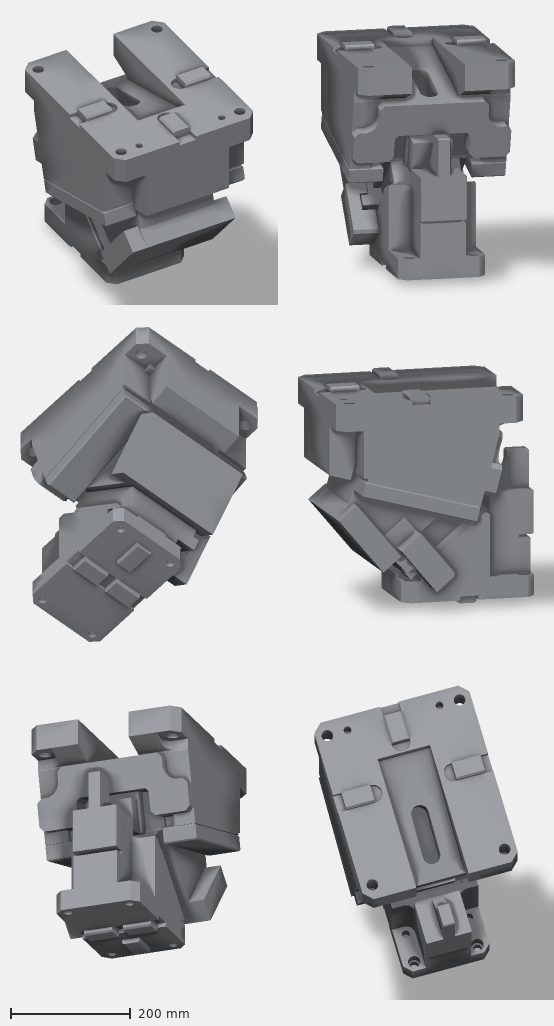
import cadquery as cq
import math


KEY_WIDTH = 32.0
KEY_LENGTH = 50.0
KEY_HEIGHT = 15.0
KEY_SEAT = 7.0
KEY_CHAMFER = 3.0
CORNER_ROUND = 16.0

BASE_LENGTH = 231.0
BASE_HALF = 75.0
BASE_THICK = 35.5
BASE_CORNER = 13.0
BASE_TOP = 144.5
COLUMN_HALF = 39.0
COLUMN_END = 80.5
RAMP_START = 92.0
RAMP_ANGLE = math.radians(40)
RELIEF_HALF = 50.0
RELIEF_DEPTH = 5.0
RAIL_HEIGHT = 10.4
END_NOTCH_X = 200.0
LIP_HALF = 30.0
SCREW_X = (15.6, 214.0)
SCREW_Y = 55.0
SCREW_DIAMETER = 14.0
SCREW_BORE = 21.0
SCREW_BORE_DEPTH = 20.0
DOWEL_X = 66.5
DOWEL_DIAMETER = 13.0
DOWEL_DEPTH = 20.0
BASE_KEY_X = 115.5
BASE_KEY_Y = 35.0
BASE_END_KEY_X = 185.5

BLOCK_FRONT = -5.0
BLOCK_BACK = 71.0
BLOCK_SEAT_X = 20.0
BLOCK_BOTTOM = 100.0
BLOCK_LEDGE = 94.0
BLOCK_TOP = 174.5
BLOCK_HALF = 39.4
BLOCK_CHAMFER = 1.0
FIN_HALF = 10.0
FIN_TOP = 240.0
FIN_TOP_X = 33.0
FIN_ROUND_START = (33.0, 227.0)
FIN_ROUND_MIDDLE = (36.5, 213.5)
FIN_ROUND_END = (44.0, 203.0)

HOOK_START = 103.0
HOOK_END = 147.0
HOOK_OUTER = 118.0
HOOK_TOP = 62.4
HOOK_SLOT_TOP = 42.0
HOOK_SLOT_OUTER = 97.2
HOOK_LIP_INNER = 83.3
HOOK_BOTTOM = -32.0
HOOK_NOSE = -26.8

RAIL_START = 11.5
RAIL_END = 163.0
RAIL_HALF = 72.0
RAIL_CHAMFER_LENGTH = 17.0
NECK_HALF = 59.0
NECK_TOP = 51.0
WING_HALF = 99.5
WING_START = 152.0
WING_END = 192.0
WING_TOP = 169.5
TONGUE_NECK = 82.0
TONGUE_OUTER = 94.6
TONGUE_BOTTOM = 19.7
TONGUE_TOP = 39.0
TONGUE_NECK_TOP = 90.0

PLATE_FRONT = 35.5
PLATE_BACK = 360.0
PLATE_HALF = 135.0
PLATE_BOTTOM = 311.0
PLATE_TOP = 356.0
PLATE_CORNER = 15.0
BODY_FRONT = 80.5
BODY_BACK = 315.5
BODY_BACK_STEP = 6.7
BODY_BACK_BOTTOM = 229.5
BODY_BOTTOM_LENGTH = 222.5
POCKET_HALF = 45.5
POCKET_BACK = 272.0
POCKET_STEP = 0.5
FLOOR_SLOT_WIDTH = 30.0
FLOOR_SLOT_LENGTH = 101.5
FLOOR_SLOT_START = 28.5
FLOOR_SLOT_DEPTH = 45.0
GUSSET_HALF = 94.0
GUSSET_BACK_Z = 295.0
BOLT_X = (60.5, 335.0)
BOLT_Y = 115.0
BOLT_DIAMETER = 19.5
PIN_Y = 80.0
PIN_DIAMETER = 13.0
PIN_DEPTH = 25.0
TOP_KEY_X = 215.0
TOP_KEY_Y = 96.0
TOP_GROOVE_INNER_Y = 54.0
TOP_END_KEY_X = 315.5
TOP_GROOVE_INNER_X = 274.0
STOP_HALF = 80.0
STOP_LEDGE_HALF = 90.0
STOP_LEDGE_LENGTH = 13.5
STOP_LEDGE_HEIGHT = 11.0
STOP_FACE = 235.5
STOP_BOTTOM = -77.7
STOP_TOP = -47.8

SLIDE_ANGLE = math.radians(15)
SLIDE_ORIGIN = (76.0, 231.2)
FACE_THICK = 20.0
FACE_TOP = 56.6
FACE_BOTTOM = -47.8
GIB_TOP = -68.0
GIB_BOTTOM = -95.5
GIB_CHAMFER = 2.5
SLIDE_END = 225.5
CHANNEL_HALF = 65.0
CHANNEL_CORNER = 6.0
CHANNEL_FLARE_TOP = -39.6
GIB_INNER = 76.0
MOUTH_OUTER = 99.0
MOUTH_INNER = 94.5
MOUTH_DEPTH = 20.0

TRUNK_FRONT = 43.0
TRUNK_FRONT_BOTTOM = -63.0
TRUNK_TAIL = -119.2
NOSE_PLATE_HALF = 38.0
NOSE_PLATE_FRONT = 24.0
NOSE_HALF = 34.0
NOSE_FRONT = -4.0
NOSE_TOP = -13.0
NOSE_BOTTOM = -71.0
NOSE_ROUND = 10.0


def ramp(u, height):
    """XZ point at distance u down the ramp and `height` above its surface."""
    x = RAMP_START + u * math.cos(RAMP_ANGLE) + height * math.sin(RAMP_ANGLE)
    z = BASE_TOP - u * math.sin(RAMP_ANGLE) + height * math.cos(RAMP_ANGLE)
    return (x, z)


def slide(t, v):
    """XZ point at distance t along the slide and v above its origin."""
    x = SLIDE_ORIGIN[0] + t * math.cos(SLIDE_ANGLE) - v * math.sin(SLIDE_ANGLE)
    z = SLIDE_ORIGIN[1] + t * math.sin(SLIDE_ANGLE) + v * math.cos(SLIDE_ANGLE)
    return (x, z)


def prism(points, y_min, y_max):
    """XZ outline extruded from y_min to y_max."""
    plane = cq.Workplane("XZ", origin=(0, y_max, 0))
    return plane.polyline(points).close().extrude(y_max - y_min)


def block(x, y, z):
    """Box given by its (min, max) pairs."""
    size = (x[1] - x[0], y[1] - y[0], z[1] - z[0])
    return cq.Workplane("XY").box(*size, centered=False).translate((x[0], y[0], z[0]))


def ramp_block(u, height, y):
    corners = [ramp(u[0], height[0]), ramp(u[1], height[0]), ramp(u[1], height[1]), ramp(u[0], height[1])]
    return prism(corners, *y)


def slide_block(t, v, half):
    corners = [slide(t[0], v[0]), slide(t[1], v[0]), slide(t[1], v[1]), slide(t[0], v[1])]
    return prism(corners, -half, half)


def slide_section(t):
    """Workplane across the slide at distance t: local x is Y, local y is v."""
    x, z = slide(t, 0)
    normal = (math.cos(SLIDE_ANGLE), 0, math.sin(SLIDE_ANGLE))
    return cq.Workplane(cq.Plane(origin=(x, 0, z), xDir=(0, 1, 0), normal=normal))


def mirrored(half_outline):
    """Closed symmetric outline from the points of its +Y half."""
    return half_outline + [(-y, v) for y, v in reversed(half_outline)]


def key(center, along_y, bottom):
    """Key with a chamfer along both long top edges."""
    solid = cq.Workplane("XY").box(KEY_WIDTH, KEY_LENGTH, KEY_HEIGHT, centered=(True, True, False))
    solid = solid.faces(">Z").edges("|Y").chamfer(KEY_CHAMFER)
    if not along_y:
        solid = solid.rotate((0, 0, 0), (0, 0, 1), 90)
    if bottom:
        solid = solid.rotate((0, 0, 0), (0, 1, 0), 180).translate((0, 0, KEY_SEAT))
    else:
        solid = solid.translate((0, 0, PLATE_TOP - KEY_SEAT))
    return solid.translate((*center, 0))


def base_foot():
    foot = block((0, BASE_LENGTH), (-BASE_HALF, BASE_HALF), (0, BASE_THICK))
    return foot.edges("|Z").chamfer(BASE_CORNER)


def base_tower():
    """Ramp body with a narrow front column, rounded where the two meet."""
    outline = [
        (0, BASE_THICK),
        (0, BLOCK_LEDGE),
        (BLOCK_SEAT_X, BLOCK_LEDGE),
        (BLOCK_SEAT_X, BASE_TOP),
        (RAMP_START, BASE_TOP),
        ramp((BASE_TOP - BASE_THICK) / math.sin(RAMP_ANGLE), 0),
    ]
    tower = prism(outline, -BASE_HALF, BASE_HALF)
    column_depth = BASE_HALF - COLUMN_HALF
    for side in (-1, 1):
        corner = block(
            (-CORNER_ROUND, COLUMN_END),
            (COLUMN_HALF, COLUMN_HALF + 2 * column_depth),
            (BASE_THICK, BASE_TOP),
        )
        corner = corner.edges("|Z and >X and <Y").fillet(CORNER_ROUND)
        if side < 0:
            corner = corner.mirror("XZ")
        tower = tower.cut(corner)
    tower = tower.cut(block((END_NOTCH_X, BASE_LENGTH), (-BASE_HALF, BASE_HALF), (BASE_THICK, BASE_TOP)))
    return tower


def base_relief():
    return ramp_block((0, RAIL_END), (-RELIEF_DEPTH, RAIL_HEIGHT), (-RELIEF_HALF, RELIEF_HALF))


def base_lip():
    """Stop lip at the foot of the ramp, and the relieved ramp surface leading to it."""
    ramp_foot = (BASE_TOP - BASE_THICK) / math.sin(RAMP_ANGLE)
    lip_end_x = BASE_LENGTH
    lip_top = ramp(RAIL_END, RAIL_HEIGHT)
    lip_end_z = lip_top[1] - (lip_end_x - lip_top[0]) * math.tan(RAMP_ANGLE)
    lip = prism(
        [ramp(RAIL_END, -RELIEF_DEPTH), lip_top, (lip_end_x, lip_end_z), (lip_end_x, BASE_THICK / 2)],
        -LIP_HALF,
        LIP_HALF,
    )
    relief_slope = -RELIEF_DEPTH / math.tan(RAMP_ANGLE)
    wedge_start = END_NOTCH_X - RAMP_START
    wedge_u = (wedge_start + RELIEF_DEPTH * math.sin(RAMP_ANGLE)) / math.cos(RAMP_ANGLE)
    wedge = prism(
        [
            (END_NOTCH_X, BASE_THICK),
            ramp(wedge_u, -RELIEF_DEPTH),
            ramp(ramp_foot + relief_slope, -RELIEF_DEPTH),
        ],
        -LIP_HALF,
        LIP_HALF,
    )
    return lip.union(wedge)


def stop_block():
    """Block hooked over the column, with a thin fin on top."""
    seat = prism(
        [
            (BLOCK_FRONT, BLOCK_BOTTOM),
            (BLOCK_FRONT, BLOCK_TOP),
            (BLOCK_BACK, BLOCK_TOP),
            (BLOCK_BACK, BASE_TOP),
            (BLOCK_SEAT_X, BASE_TOP),
            (BLOCK_SEAT_X, BLOCK_BOTTOM),
        ],
        -BLOCK_HALF,
        BLOCK_HALF,
    )
    seat = seat.faces("<X").edges("|Z").chamfer(BLOCK_CHAMFER)
    fin = (
        cq.Workplane("XZ", origin=(0, FIN_HALF, 0))
        .moveTo(BLOCK_FRONT, BLOCK_TOP)
        .lineTo(BLOCK_FRONT, FIN_TOP)
        .lineTo(FIN_TOP_X, FIN_TOP)
        .lineTo(*FIN_ROUND_START)
        .threePointArc(FIN_ROUND_MIDDLE, FIN_ROUND_END)
        .lineTo(BLOCK_BACK, BLOCK_TOP)
        .close()
        .extrude(2 * FIN_HALF)
    )
    fin = fin.faces(">Z").edges("|Y").chamfer(2 * BLOCK_CHAMFER)
    return seat.union(fin)


def hook_bracket():
    """Side bracket whose slot captures the slider's tongue."""
    nose = ramp(HOOK_START, HOOK_NOSE)
    bottom_start_u = ((nose[0] - RAMP_START) - HOOK_BOTTOM * math.sin(RAMP_ANGLE)) / math.cos(RAMP_ANGLE)
    outline = [
        ramp(HOOK_START, HOOK_TOP),
        nose,
        ramp(bottom_start_u, HOOK_BOTTOM),
        ramp(HOOK_END, HOOK_BOTTOM),
        ramp(HOOK_END, HOOK_TOP),
    ]
    bracket = prism(outline, BASE_HALF, HOOK_OUTER)
    length = (HOOK_START, HOOK_END)
    slot = ramp_block(length, (RAIL_HEIGHT, HOOK_SLOT_TOP), (BASE_HALF, HOOK_SLOT_OUTER))
    mouth = ramp_block(length, (HOOK_SLOT_TOP, HOOK_TOP), (BASE_HALF, HOOK_LIP_INNER))
    return bracket.cut(slot).cut(mouth)


def build_base():
    base = base_foot().union(base_tower()).cut(base_relief()).union(base_lip())
    base = base.union(stop_block()).union(hook_bracket())
    for side in (-1, 1):
        for x in SCREW_X:
            spot = cq.Workplane("XY", origin=(x, side * SCREW_Y, BASE_THICK))
            base = base.cut(spot.circle(SCREW_DIAMETER / 2).extrude(-BASE_THICK))
            base = base.cut(spot.circle(SCREW_BORE / 2).extrude(-SCREW_BORE_DEPTH))
        dowel = cq.Workplane("XY", origin=(DOWEL_X, side * SCREW_Y, BASE_THICK))
        base = base.cut(dowel.circle(DOWEL_DIAMETER / 2).extrude(-DOWEL_DEPTH))
    groove_x = (BASE_KEY_X - KEY_WIDTH / 2, BASE_KEY_X + KEY_WIDTH / 2)
    base = base.cut(block(groove_x, (-BASE_HALF, BASE_HALF), (0, KEY_SEAT)))
    for side in (-1, 1):
        base = base.union(key((BASE_KEY_X, side * BASE_KEY_Y), True, True))
    return base.union(key((BASE_END_KEY_X, 0), False, True))


def slider_rail():
    """Bottom rail, chamfered in plan at its upper end."""
    rail = ramp_block((RAIL_START, RAIL_END), (0, RAIL_HEIGHT), (-RAIL_HALF, RAIL_HALF))
    upper_end = rail.faces("<X").edges("not |Y")
    return upper_end.chamfer(RAIL_HALF - NECK_HALF, RAIL_CHAMFER_LENGTH)


def slider_trunk():
    """Upper part that fills the holder's channel, above the neck."""
    outline = [
        slide(TRUNK_FRONT, 0),
        slide(TRUNK_FRONT, TRUNK_FRONT_BOTTOM),
        ramp(RAIL_START, NECK_TOP),
        ramp(WING_END, NECK_TOP),
        ramp(WING_END, WING_TOP),
        slide(SLIDE_END, TRUNK_TAIL),
        slide(SLIDE_END, 0),
    ]
    flare = RAIL_HALF - CHANNEL_HALF
    section = [
        (CHANNEL_HALF - CHANNEL_CORNER, 0),
        (CHANNEL_HALF, -CHANNEL_CORNER),
        (CHANNEL_HALF, CHANNEL_FLARE_TOP),
        (RAIL_HALF, CHANNEL_FLARE_TOP - flare),
        (RAIL_HALF, -BASE_LENGTH),
    ]
    envelope = slide_section(0).polyline(mirrored(section)).close().extrude(PLATE_BACK)
    return prism(outline, -RAIL_HALF, RAIL_HALF).intersect(envelope)


def slider_nose():
    """Stepped plate and front boss; the boss has a rounded lower front edge."""
    plate = slide_block((NOSE_PLATE_FRONT, TRUNK_FRONT), (NOSE_BOTTOM, 0), NOSE_PLATE_HALF)
    boss = slide_block((NOSE_FRONT, TRUNK_FRONT), (NOSE_BOTTOM, NOSE_TOP), NOSE_HALF)
    boss = boss.edges("|Y and <Z").fillet(NOSE_ROUND)
    return plate.union(boss)


def build_slider():
    neck = ramp_block((RAIL_START, RAIL_END), (RAIL_HEIGHT, NECK_TOP), (-NECK_HALF, NECK_HALF))
    wing = ramp_block((WING_START, WING_END), (NECK_TOP, WING_TOP), (-WING_HALF, WING_HALF))
    length = (HOOK_START, RAIL_END)
    arm = ramp_block(length, (TONGUE_BOTTOM, TONGUE_NECK_TOP), (0, TONGUE_NECK))
    tongue = ramp_block(length, (TONGUE_BOTTOM, TONGUE_TOP), (0, TONGUE_OUTER))
    slider = slider_trunk().union(neck).union(slider_rail()).union(slider_nose())
    return slider.union(wing).union(arm).union(tongue)


def holder_plate():
    plate = block((PLATE_FRONT, PLATE_BACK), (-PLATE_HALF, PLATE_HALF), (PLATE_BOTTOM, PLATE_TOP))
    return plate.edges("|Z").chamfer(PLATE_CORNER)


def holder_body():
    """Main block under the plate, down to the top of the gibs."""
    wall_z = slide(FACE_THICK, FACE_TOP)[1]
    back = BODY_BACK - BODY_BACK_STEP
    outline = [
        (BODY_FRONT, PLATE_BOTTOM),
        (BODY_FRONT, wall_z),
        slide(FACE_THICK, FACE_TOP),
        slide(FACE_THICK, GIB_TOP),
        slide(BODY_BOTTOM_LENGTH, GIB_TOP),
        (back, BODY_BACK_BOTTOM),
        (BODY_BACK, BODY_BACK_BOTTOM),
        (BODY_BACK, PLATE_BOTTOM),
    ]
    return prism(outline, -PLATE_HALF, PLATE_HALF)


def holder_gibs():
    """Pair of guide strips under the body, all edges but the upright ones chamfered."""
    gibs = []
    upright = cq.selectors.ParallelDirSelector(cq.Vector(-math.sin(SLIDE_ANGLE), 0, math.cos(SLIDE_ANGLE)))
    long_edges = cq.selectors.InverseSelector(upright)
    center_y = (GIB_INNER + PLATE_HALF) / 2
    center_v = (GIB_TOP + GIB_BOTTOM) / 2
    for side in (-1, 1):
        section = slide_section(FACE_THICK).center(side * center_y, center_v)
        gib = section.rect(PLATE_HALF - GIB_INNER, GIB_TOP - GIB_BOTTOM).extrude(SLIDE_END - FACE_THICK)
        gibs.append(gib.edges(long_edges).chamfer(GIB_CHAMFER))
    return gibs


def holder_mouth():
    """Recesses beside the channel mouth, between the front slab and the gibs."""
    flare = MOUTH_OUTER - MOUTH_INNER
    section = [
        (FACE_THICK, -MOUTH_OUTER),
        (FACE_THICK, MOUTH_OUTER),
        (FACE_THICK + flare, MOUTH_INNER),
        (FACE_THICK + MOUTH_DEPTH, MOUTH_INNER),
        (FACE_THICK + MOUTH_DEPTH, -MOUTH_INNER),
        (FACE_THICK + flare, -MOUTH_INNER),
    ]
    x, z = slide(0, GIB_TOP)
    plane = cq.Plane(
        origin=(x, 0, z),
        xDir=(math.cos(SLIDE_ANGLE), 0, math.sin(SLIDE_ANGLE)),
        normal=(-math.sin(SLIDE_ANGLE), 0, math.cos(SLIDE_ANGLE)),
    )
    return cq.Workplane(plane).polyline(section).close().extrude(FACE_BOTTOM - GIB_TOP)


def holder_face():
    """Front slab with stepped shoulders."""
    shoulder_round = 25.0
    corner = 8.0
    top_half = GUSSET_HALF - corner
    round_start = 33.0
    round_end = round_start - shoulder_round
    middle = shoulder_round * math.sqrt(0.5)
    center_y = GUSSET_HALF + shoulder_round
    slab = slide_section(0).moveTo(-top_half, FACE_TOP).lineTo(top_half, FACE_TOP)
    slab = slab.lineTo(GUSSET_HALF, FACE_TOP - corner).lineTo(GUSSET_HALF, round_start)
    slab = slab.threePointArc((center_y - middle, round_start - middle), (center_y, round_end))
    slab = slab.lineTo(PLATE_HALF - corner, round_end).lineTo(PLATE_HALF, round_end - corner)
    slab = slab.lineTo(PLATE_HALF, FACE_BOTTOM + corner).lineTo(PLATE_HALF - corner, FACE_BOTTOM)
    slab = slab.lineTo(corner - PLATE_HALF, FACE_BOTTOM).lineTo(-PLATE_HALF, FACE_BOTTOM + corner)
    slab = slab.lineTo(-PLATE_HALF, round_end - corner).lineTo(corner - PLATE_HALF, round_end)
    slab = slab.lineTo(-center_y, round_end)
    slab = slab.threePointArc((middle - center_y, round_start - middle), (-GUSSET_HALF, round_start))
    slab = slab.lineTo(-GUSSET_HALF, FACE_TOP - corner).close()
    return slab.extrude(FACE_THICK)


def holder_gusset():
    """Sloped gusset under the front overhang, with rounded inner corners at its sides."""
    outline = [(PLATE_FRONT, PLATE_BOTTOM), (BODY_FRONT, PLATE_BOTTOM), (BODY_FRONT, GUSSET_BACK_Z)]
    gusset = prism(outline, -GUSSET_HALF - CORNER_ROUND, GUSSET_HALF + CORNER_ROUND)
    for side in (-1, 1):
        corner = block(
            (0, BODY_FRONT),
            (GUSSET_HALF, PLATE_HALF),
            (0, PLATE_BOTTOM),
        )
        corner = corner.edges("|Z and >X and <Y").fillet(CORNER_ROUND)
        if side < 0:
            corner = corner.mirror("XZ")
        gusset = gusset.cut(corner)
    return gusset


def holder_channel():
    """Slide channel, wider between the gibs."""
    flare = GIB_INNER - CHANNEL_HALF
    section = [
        (CHANNEL_HALF - CHANNEL_CORNER, 0),
        (CHANNEL_HALF, -CHANNEL_CORNER),
        (CHANNEL_HALF, CHANNEL_FLARE_TOP),
        (GIB_INNER, CHANNEL_FLARE_TOP - flare),
        (GIB_INNER, GIB_BOTTOM),
    ]
    channel = slide_section(NOSE_FRONT).polyline(mirrored(section)).close()
    return channel.extrude(PLATE_BACK)


def holder_pocket():
    """Open pocket in the plate, its floor parallel to the slide, with a blind slot in the floor."""
    top = PLATE_TOP + KEY_HEIGHT
    floor_v = FACE_TOP - POCKET_STEP
    floor_run = POCKET_BACK - SLIDE_ORIGIN[0] + floor_v * math.sin(SLIDE_ANGLE)
    outline = [
        slide(-2 * FACE_THICK, FACE_TOP),
        slide(FACE_THICK, FACE_TOP),
        slide(FACE_THICK, floor_v),
        slide(floor_run / math.cos(SLIDE_ANGLE), floor_v),
        (POCKET_BACK, top),
        (0, top),
    ]
    pocket = prism(outline, -POCKET_HALF, POCKET_HALF)
    x, z = slide(FLOOR_SLOT_START + FLOOR_SLOT_LENGTH / 2, FACE_TOP)
    floor = cq.Plane(
        origin=(x, 0, z),
        xDir=(math.cos(SLIDE_ANGLE), 0, math.sin(SLIDE_ANGLE)),
        normal=(-math.sin(SLIDE_ANGLE), 0, math.cos(SLIDE_ANGLE)),
    )
    slot = cq.Workplane(floor).slot2D(FLOOR_SLOT_LENGTH, FLOOR_SLOT_WIDTH).extrude(-FLOOR_SLOT_DEPTH)
    return pocket.union(slot)


def holder_stop():
    """Rear stop behind the slider, with a shallow ledge at its root."""
    tail = slide(STOP_FACE, STOP_BOTTOM)
    outline = [
        (BODY_BACK, PLATE_BOTTOM),
        (BODY_BACK, slide(STOP_FACE, STOP_TOP)[1]),
        tail,
        (PLATE_BACK, tail[1] + (PLATE_BACK - tail[0]) * math.tan(SLIDE_ANGLE)),
        (PLATE_BACK, PLATE_BOTTOM),
    ]
    ledge = block(
        (BODY_BACK, BODY_BACK + STOP_LEDGE_LENGTH),
        (-STOP_LEDGE_HALF, STOP_LEDGE_HALF),
        (PLATE_BOTTOM - STOP_LEDGE_HEIGHT, PLATE_BOTTOM),
    )
    return prism(outline, -STOP_HALF, STOP_HALF).union(ledge)


def groove(length):
    """Key groove along +X from the origin, with a round inner end."""
    tool = block((KEY_WIDTH / 2, length), (-KEY_WIDTH / 2, KEY_WIDTH / 2), (-KEY_SEAT, 0))
    end = cq.Workplane("XY", origin=(KEY_WIDTH / 2, 0, 0)).circle(KEY_WIDTH / 2).extrude(-KEY_SEAT)
    return tool.union(end)


def build_holder():
    holder = holder_plate().union(holder_body()).union(holder_face()).union(holder_gusset())
    for gib in holder_gibs():
        holder = holder.union(gib)
    holder = holder.cut(holder_channel()).cut(holder_mouth()).cut(holder_pocket()).union(holder_stop())
    for side in (-1, 1):
        for x in BOLT_X:
            bolt = cq.Workplane("XY", origin=(x, side * BOLT_Y, PLATE_BOTTOM))
            holder = holder.cut(bolt.circle(BOLT_DIAMETER / 2).extrude(PLATE_TOP - PLATE_BOTTOM))
        pin = cq.Workplane("XY", origin=(BOLT_X[1], side * PIN_Y, PLATE_TOP))
        holder = holder.cut(pin.circle(PIN_DIAMETER / 2).extrude(-PIN_DEPTH))
        side_groove = groove(PLATE_HALF - TOP_GROOVE_INNER_Y).rotate((0, 0, 0), (0, 0, 1), 90 * side)
        holder = holder.cut(side_groove.translate((TOP_KEY_X, side * TOP_GROOVE_INNER_Y, PLATE_TOP)))
        holder = holder.union(key((TOP_KEY_X, side * TOP_KEY_Y), True, False))
    end_groove = groove(PLATE_BACK - TOP_GROOVE_INNER_X)
    holder = holder.cut(end_groove.translate((TOP_GROOVE_INNER_X, 0, PLATE_TOP)))
    return holder.union(key((TOP_END_KEY_X, 0), False, False))


base = build_base()
slider = build_slider()
holder = build_holder()

result = cq.Compound.makeCompound([base.solids().val(), slider.solids().val(), holder.solids().val()])